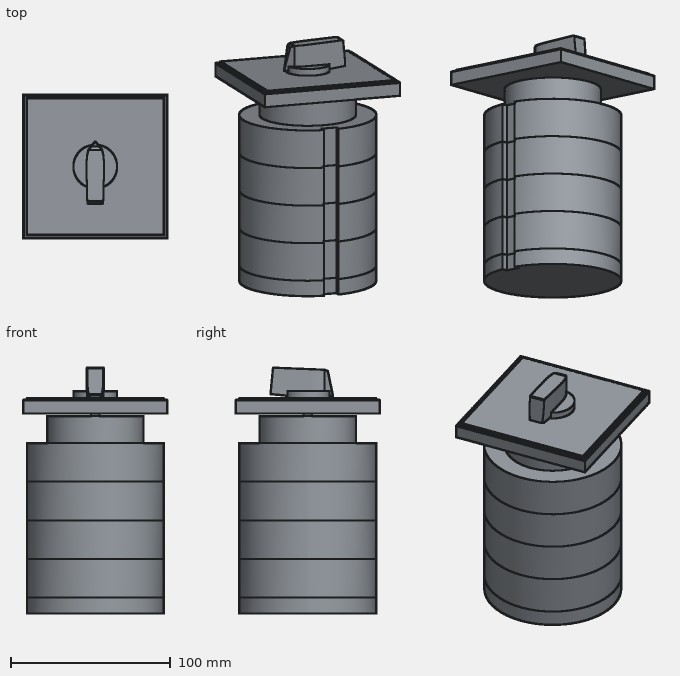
import cadquery as cq
import math

BODY_DIAMETER = 86.0
BASE_HEIGHT = 10.0
CELL_HEIGHT = 24.1
CELL_COUNT = 4
NOTCH_WIDTH = 9.8
NOTCH_DEPTH = 4.3

NECK_DIAMETER = 60.4
NECK_HEIGHT = 16.9
SHAFT_SIDE = 5.5
SHAFT_LENGTH = 1.5

FRAME_SIDE = 90.0
FRAME_HEIGHT = 8.8
FRAME_CHAMFER = 0.5
FACE_MARGIN = 2.0
FACE_HEIGHT = 1.0
FACE_CHAMFER_WIDTH = 0.5
FACE_CHAMFER_HEIGHT = 0.9

TOTAL_HEIGHT = 153.7
DISC_DIAMETER = 27.4
DISC_HEIGHT = 4.3

HANDLE_HALF_WIDTH = 5.4
TIP_Y = 15.8
SHOULDER_Y = 10.5
SHOULDER_HALF_WIDTH = 4.3
STRAIGHT_FRONT_Y = 2.8
STRAIGHT_BACK_Y = -1.2
BACK_ARC_END_Y = -12.6
BACK_ARC_INSET = 0.2
TAIL_Y = -23.4
TAIL_CORNER_RADIUS = 1.0

UNDERSIDE_GAP = 1.2
UNDERSIDE_SLOPE_START_Y = -12.1
TAIL_UNDERSIDE_RISE = 1.0
TIP_TOP_Y = 12.6
TIP_BEVEL_HEIGHT = 0.9
TOP_DROP = 1.2
TOP_FLAT_START_Y = -19.7
TOP_FLAT_END_Y = -21.4
TAIL_BEVEL = 0.5

STACK_TOP = BASE_HEIGHT + CELL_COUNT * CELL_HEIGHT
NECK_TOP = STACK_TOP + NECK_HEIGHT
FRAME_BOTTOM = NECK_TOP + SHAFT_LENGTH
FRAME_TOP = FRAME_BOTTOM + FRAME_HEIGHT
FACE_TOP = FRAME_TOP + FACE_HEIGHT


def make_notched_disc(bottom, height):
    """Round disc with a rectangular notch in its -X side."""
    disc = cq.Workplane("XY").workplane(offset=bottom).circle(BODY_DIAMETER / 2).extrude(height)
    notch = (
        cq.Workplane("XY")
        .workplane(offset=bottom)
        .center(-BODY_DIAMETER / 2, 0)
        .rect(2 * NOTCH_DEPTH, NOTCH_WIDTH)
        .extrude(height)
    )
    return disc.cut(notch)


def make_neck():
    return cq.Workplane("XY").workplane(offset=STACK_TOP).circle(NECK_DIAMETER / 2).extrude(NECK_HEIGHT)


def make_shaft():
    return cq.Workplane("XY").workplane(offset=NECK_TOP).rect(SHAFT_SIDE, SHAFT_SIDE).extrude(SHAFT_LENGTH)


def make_frame():
    block = cq.Workplane("XY").workplane(offset=FRAME_BOTTOM).rect(FRAME_SIDE, FRAME_SIDE).extrude(FRAME_HEIGHT)
    return block.faces(">Z").edges().chamfer(FRAME_CHAMFER)


def make_face_plate():
    side = FRAME_SIDE - 2 * FACE_MARGIN
    plate = cq.Workplane("XY").workplane(offset=FRAME_TOP).rect(side, side).extrude(FACE_HEIGHT)
    return plate.faces(">Z").edges().chamfer(FACE_CHAMFER_HEIGHT, FACE_CHAMFER_WIDTH)


def make_handle_plan():
    """Upright prism with the boat-shaped outline of the handle."""
    arc_length = STRAIGHT_BACK_Y - BACK_ARC_END_Y
    arc_end_x = HANDLE_HALF_WIDTH - BACK_ARC_INSET
    arc_end_angle = 2 * math.atan(BACK_ARC_INSET / arc_length)
    tail_x = arc_end_x - (BACK_ARC_END_Y - TAIL_Y) * math.tan(arc_end_angle)

    outline = (
        cq.Workplane("XY")
        .workplane(offset=FACE_TOP)
        .moveTo(HANDLE_HALF_WIDTH, STRAIGHT_FRONT_Y)
        .lineTo(HANDLE_HALF_WIDTH, STRAIGHT_BACK_Y)
        .tangentArcPoint((arc_end_x, BACK_ARC_END_Y), relative=False)
        .lineTo(tail_x, TAIL_Y)
        .lineTo(-tail_x, TAIL_Y)
        .lineTo(-arc_end_x, BACK_ARC_END_Y)
        .tangentArcPoint((-HANDLE_HALF_WIDTH, STRAIGHT_BACK_Y), relative=False)
        .lineTo(-HANDLE_HALF_WIDTH, STRAIGHT_FRONT_Y)
        .tangentArcPoint((-SHOULDER_HALF_WIDTH, SHOULDER_Y), relative=False)
        .lineTo(0, TIP_Y)
        .lineTo(SHOULDER_HALF_WIDTH, SHOULDER_Y)
    )
    rise = SHOULDER_Y - STRAIGHT_FRONT_Y
    inset = HANDLE_HALF_WIDTH - SHOULDER_HALF_WIDTH
    radius = (rise**2 + inset**2) / (2 * inset)
    prism = (
        outline.radiusArc((HANDLE_HALF_WIDTH, STRAIGHT_FRONT_Y), radius)
        .close()
        .extrude(TOTAL_HEIGHT - FACE_TOP)
    )
    return prism.faces("<Y").edges("|Z").fillet(TAIL_CORNER_RADIUS)


def make_handle_profile():
    """Bar along X with the side outline of the handle: sloped top, ends and underside."""
    underside = FACE_TOP + UNDERSIDE_GAP
    front_top = TOTAL_HEIGHT - TOP_DROP
    points = [
        (TIP_Y, underside),
        (TIP_TOP_Y, front_top - TIP_BEVEL_HEIGHT),
        (SHOULDER_Y, front_top),
        (TOP_FLAT_START_Y, TOTAL_HEIGHT),
        (TOP_FLAT_END_Y, TOTAL_HEIGHT),
        (TOP_FLAT_END_Y - TAIL_BEVEL, TOTAL_HEIGHT - TAIL_BEVEL),
        (TAIL_Y, underside + TAIL_UNDERSIDE_RISE),
        (UNDERSIDE_SLOPE_START_Y, underside),
    ]
    return cq.Workplane("YZ").polyline(points).close().extrude(HANDLE_HALF_WIDTH, both=True)


def make_knob():
    disc = cq.Workplane("XY").workplane(offset=FACE_TOP).circle(DISC_DIAMETER / 2).extrude(DISC_HEIGHT)
    handle = make_handle_plan().intersect(make_handle_profile())
    return disc.union(handle).solids()


base = make_notched_disc(0, BASE_HEIGHT)
cells = [make_notched_disc(BASE_HEIGHT + i * CELL_HEIGHT, CELL_HEIGHT) for i in range(CELL_COUNT)]
neck = make_neck()
shaft = make_shaft()
frame = make_frame()
face_plate = make_face_plate()
knob = make_knob()

result = cq.Compound.makeCompound(
    [
        base.val(),
        *[cell.val() for cell in cells],
        neck.val(),
        shaft.val(),
        frame.val(),
        face_plate.val(),
        knob.val(),
    ]
)